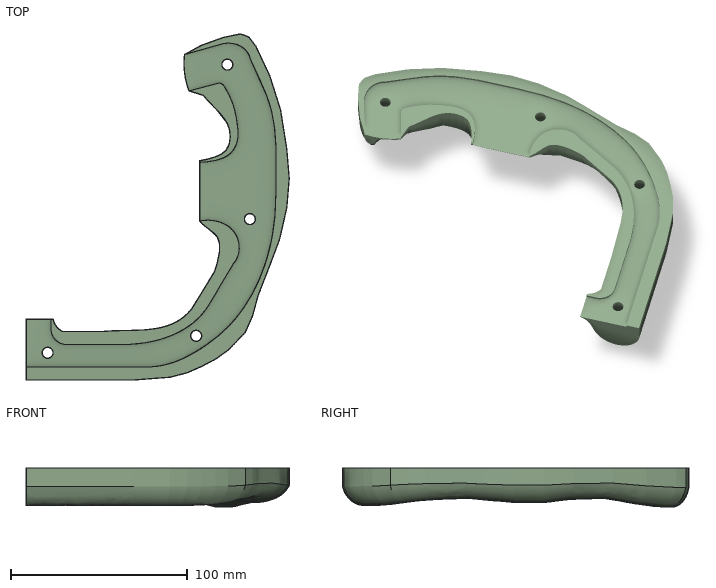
import cadquery as cq

LENGTH = 195.7
WIDTH = 148.7
ARM_WIDTH = 34.5
GRIP_DEPTH = 22.1
ARM_DEPTH = 21.3
WAIST_DEPTH = 17.2
PALM_DEPTH = 19.5
CHANNEL_DEPTH = 1.4
HOLE_DIAMETER = 6.0
BLOCK_FACE_X = 98.0
BLOCK_TRIM = 2.3
SECTION_BLOCK_X = BLOCK_FACE_X - BLOCK_TRIM
BLOCK_LOW_Y = 89.8
BLOCK_HIGH_Y = 124.0
CHANNEL_BLOCK_Y = 123.0
TIP_OUTER = (89.5, 184.0)
TIP_INNER = (92.0, 163.4)
TIP_EDGE_MIDDLE = (89.2, 176.1)
ARM_INNER_EDGE = 27.5
LIP_X = 15.3
CHANNEL_RIM = 7.5
CHANNEL_INNER_EDGE = 20.2
CHANNEL_END_X = 14.0
CLEARANCE = 9.8
HOLES = [(12.1, 15.5), (96.0, 25.0), (126.5, 91.0), (113.7, 178.3)]

PROFILE = [
    (0, 0.5), (0.06, 0.72), (0.2, 0.93), (0.41, 1),
    (0.62, 0.86), (0.74, 0.63), (0.83, 0.3), (1, 0.07),
]

SECTIONS = [
    ((0, 0), (0, ARM_WIDTH), ARM_DEPTH),
    ((60.7, 0), (58.7, ARM_WIDTH), ARM_DEPTH),
    ((81.2, 1.5), (72.5, 35.2), ARM_DEPTH),
    ((91.0, 4.1), (75.3, 36.2), ARM_DEPTH),
    ((99.0, 7.6), (78.3, 37.2), ARM_DEPTH),
    ((107.2, 12.0), (82.2, 39.1), 21.0),
    ((114.3, 17.0), (88, 41), 20.7),
    ((123.9, 27.0), (93.0, 47), PALM_DEPTH),
    ((128.0, 36.2), (96.9, 52.8), 18.5),
    ((131.1, 47.7), (99.8, 62.6), 17.8),
    ((139.1, 68.5), (99.8, 76.3), WAIST_DEPTH),
    ((143.2, 79.5), (SECTION_BLOCK_X, BLOCK_LOW_Y), 18.4),
    ((147.4, 97.5), (SECTION_BLOCK_X, 97.8), PALM_DEPTH),
    ((WIDTH, 113.9), (SECTION_BLOCK_X, 113.9), PALM_DEPTH),
    ((147.4, 130.5), (SECTION_BLOCK_X, BLOCK_HIGH_Y), 17.8),
    ((143.8, 152.6), (101.8, 140.9), WAIST_DEPTH),
    ((137.8, 171.8), (94, 156.5), 20.4),
    ((130.0, 188.5), (88, 164.4), GRIP_DEPTH),
    ((125.8, 194.0), (88, 168.3), GRIP_DEPTH),
    ((121.1, LENGTH), (88, 170.3), GRIP_DEPTH),
    ((111.5, 193.7), (88, 172.2), 20.7),
    ((99.0, 189.2), (88, 174.2), 16.8),
    (TIP_OUTER, (88, 176.1), 8.8),
]


def section_wire(outer, inner, depth):
    """Vertical half-round section between two points of the top face."""
    span_x = inner[0] - outer[0]
    span_y = inner[1] - outer[1]
    curve = [
        cq.Vector(outer[0] + u * span_x, outer[1] + u * span_y, -depth * v)
        for u, v in PROFILE
    ]
    outer_top = cq.Vector(*outer, 0)
    inner_top = cq.Vector(*inner, 0)
    edges = [
        cq.Edge.makeLine(outer_top, curve[0]),
        cq.Edge.makeSpline(curve),
        cq.Edge.makeLine(curve[-1], inner_top),
        cq.Edge.makeLine(inner_top, outer_top),
    ]
    return cq.Wire.assembleEdges(edges)


def make_grip():
    wires = [section_wire(*section) for section in SECTIONS]
    return cq.Workplane(cq.Solid.makeLoft(wires, True))


def make_palm_opening():
    """Space inside the handle, bounded by both finger notches and the arm."""
    return (
        cq.Workplane("XY", origin=(0, 0, -GRIP_DEPTH - CLEARANCE))
        .moveTo(-CLEARANCE, ARM_WIDTH)
        .lineTo(LIP_X, ARM_WIDTH)
        .spline([(17.6, 29.7), (20.4, ARM_INNER_EDGE)], includeCurrent=True)
        .lineTo(43.8, ARM_INNER_EDGE)
        .spline([(60.5, 28.2), (79.6, 30.7), (93.5, 40.3)], includeCurrent=True)
        .lineTo(106.3, 61.0)
        .spline([(109.2, 72.6), (108.0, 80.8), (103.7, 85.0), (BLOCK_FACE_X, BLOCK_LOW_Y)], includeCurrent=True)
        .lineTo(BLOCK_FACE_X, BLOCK_HIGH_Y)
        .spline([(107.5, 126.5), (113.0, 130.0), (115.3, 137.4), (113.5, 145.2), (107.8, 152.6), (100.2, 160.9)],
                includeCurrent=True)
        .lineTo(*TIP_INNER)
        .threePointArc(TIP_EDGE_MIDDLE, TIP_OUTER)
        .lineTo(-CLEARANCE, TIP_OUTER[1])
        .close()
        .extrude(GRIP_DEPTH + 2 * CLEARANCE)
    )


def make_channel():
    """Shallow seat in the top face, open at the arm end, the block and the tip."""
    return (
        cq.Workplane("XY", origin=(0, 0, -CHANNEL_DEPTH))
        .moveTo(-CLEARANCE, CHANNEL_RIM)
        .lineTo(70.0, CHANNEL_RIM)
        .spline([(82.5, 9.8), (99.0, 18.0), (115.7, 31.7), (128.0, 49.1), (136.4, 69.9), (140.5, 92),
                 (141.3, 116.6), (140.5, 141.5), (137.8, 155.4), (132.3, 169.3), (126.6, 181.6)], includeCurrent=True)
        .spline([(122.0, 188.3), (114.3, 190.5), (110.2, 189.8)], includeCurrent=True)
        .lineTo(*TIP_OUTER)
        .lineTo(TIP_OUTER[0] - CLEARANCE, TIP_OUTER[1])
        .lineTo(TIP_OUTER[0] - CLEARANCE, TIP_INNER[1])
        .lineTo(*TIP_INNER)
        .lineTo(107.6, 167.5)
        .threePointArc((110.4, 167.5), (111.7, 166.3))
        .spline([(117.0, 155.4), (119.4, 144.2), (119.2, 134.6), (115.7, 128.4), (107.5, 124.3),
                 (BLOCK_FACE_X, CHANNEL_BLOCK_Y)],
                includeCurrent=True)
        .lineTo(BLOCK_FACE_X - CLEARANCE, CHANNEL_BLOCK_Y)
        .lineTo(BLOCK_FACE_X - CLEARANCE, BLOCK_LOW_Y)
        .lineTo(BLOCK_FACE_X, BLOCK_LOW_Y)
        .spline([(107.5, BLOCK_LOW_Y), (117.0, 84.3), (120.3, 76.1), (117.0, 65.8)], includeCurrent=True)
        .lineTo(103.1, 42.3)
        .spline([(92.2, 30.7), (79.6, 24.3), (57.7, CHANNEL_INNER_EDGE)], includeCurrent=True)
        .lineTo(23.0, CHANNEL_INNER_EDGE)
        .threePointArc((16.6, 22.7), (CHANNEL_END_X, 28.4))
        .lineTo(CHANNEL_END_X, ARM_WIDTH + CLEARANCE)
        .lineTo(-CLEARANCE, ARM_WIDTH + CLEARANCE)
        .close()
        .extrude(CHANNEL_DEPTH + CLEARANCE)
    )


def make_holes():
    return (
        cq.Workplane("XY", origin=(0, 0, -GRIP_DEPTH - CLEARANCE))
        .pushPoints(HOLES)
        .circle(HOLE_DIAMETER / 2)
        .extrude(GRIP_DEPTH + 2 * CLEARANCE)
    )


result = make_grip().cut(make_palm_opening()).cut(make_channel()).cut(make_holes())